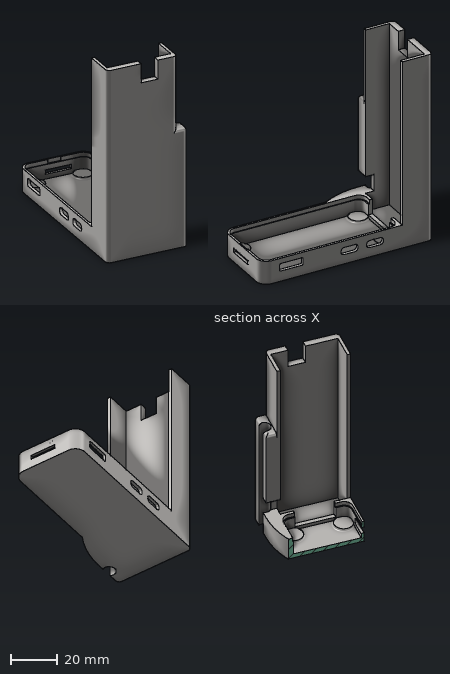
import cadquery as cq
import math

length = 84.5
width = 34.0
height = 92.0
depth_with_clip = 39.0

tray_height = 11.4
tray_length = 69.0
tray_corner_radius = 5.0
floor_thickness = 2.5
tray_wall = 1.5
lip_wall = 1.1
pocket_end = 67.4
lip_end = 68.1
lip_depth = 2.0
pad_inset = 5.5
pad_radius = 4.4
pad_fillet = 1.2

doorway_width = 18.7
doorway_sill = 4.2

rim_notch_width = 6.2
rim_notch_wall = 0.6

usb_port = {"center": 14.65, "middle": 6.95, "span": 11.7, "rise": 3.7, "radius": 0.8}
side_port = {"middle": 6.45, "span": 8.4, "rise": 3.5, "radius": 1.6}
side_port_centers = (43.4, 56.0)
card_slot_center = 18.7
card_slot_width = 12.5
card_slot_bottom = 4.8
card_slot_height = 2.0

column_start = 69.5
column_side_wall = 1.6
column_end_wall = 3.3
column_corner_radius = 2.0
top_notch_center = 20.5
top_notch_width = 8.0
top_notch_depth = 9.1

clip_height = 57.0
clip_fillet = 2.0
groove_radius = 3.0
groove_center_x = 75.75
groove_center_y = 37.5
cable_gap_reach = 4.2
cable_gap_top = 19.5
flare_length = 18.8


def box(x_range, y_range, z_range):
    """Box spanning the given (low, high) ranges."""
    size = [high - low for low, high in (x_range, y_range, z_range)]
    corner = (x_range[0], y_range[0], z_range[0])
    return cq.Workplane("XY").box(*size, centered=False).translate(corner)


def tray_pocket(wall, end, bottom):
    """Rounded pocket inset by the wall and stopping at X = end, open at the top."""
    pocket = box((wall, end), (wall, width - wall), (bottom, tray_height))
    return pocket.edges("|Z").fillet(tray_corner_radius - wall)


def base_body():
    base = box((0, length), (0, width), (0, tray_height))
    base = base.edges("|Z and <X").fillet(tray_corner_radius)
    return base.edges("|Z and >X").fillet(column_corner_radius)


def column_body():
    column = box((column_start, length), (0, width), (tray_height, height))
    return column.edges("|Z and >X").fillet(column_corner_radius)


def clip_body():
    """Block behind the column, rounded on its outer edges."""
    inner_y = width - column_corner_radius
    clip = box((column_start, length), (inner_y, depth_with_clip), (0, clip_height))
    clip = clip.edges("(|Z and >X and >Y) or (>Z and (not <Y))").fillet(clip_fillet)
    cavity_corner = box(
        (column_start, length - column_end_wall),
        (inner_y, width - column_side_wall),
        (floor_thickness, clip_height),
    )
    return clip.cut(cavity_corner)


def flare_body():
    """Curved web blending the tray's back wall into the clip."""
    overhang = depth_with_clip - width
    radius = (flare_length**2 + overhang**2) / (2 * overhang)
    half_angle = math.asin(flare_length / radius) / 2
    arc_mid = (
        column_start - radius * math.sin(half_angle),
        depth_with_clip - radius * (1 - math.cos(half_angle)),
    )
    return (
        cq.Workplane("XY")
        .moveTo(column_start - flare_length, width)
        .threePointArc(arc_mid, (column_start, depth_with_clip))
        .lineTo(column_start, width)
        .close()
        .extrude(tray_height)
    )


def column_cavity():
    return box(
        (column_start, length - column_end_wall),
        (column_side_wall, width - column_side_wall),
        (floor_thickness, height),
    )


def doorway():
    """Opening above the sill from the pocket into the column."""
    middle = width / 2
    y_range = (middle - doorway_width / 2, middle + doorway_width / 2)
    return box((tray_length - tray_corner_radius, column_start), y_range, (doorway_sill, tray_height))


def rim_notch():
    """Shallow recess in the inner face of the rim at the tray's free end."""
    middle = width / 2
    y_range = (middle - rim_notch_width / 2, middle + rim_notch_width / 2)
    return box((rim_notch_wall, tray_wall), y_range, (tray_height - lip_depth, tray_height))


def wall_port(center, middle, span, rise, radius):
    """Rounded opening through the tray's front wall."""
    port = box(
        (center - span / 2, center + span / 2),
        (0, tray_wall),
        (middle - rise / 2, middle + rise / 2),
    )
    return port.edges("|Y").fillet(radius)


def card_slot():
    y_range = (card_slot_center - card_slot_width / 2, card_slot_center + card_slot_width / 2)
    return box((0, tray_wall), y_range, (card_slot_bottom, card_slot_bottom + card_slot_height))


def top_notch():
    y_range = (top_notch_center - top_notch_width / 2, top_notch_center + top_notch_width / 2)
    return box((length - column_end_wall, length), y_range, (height - top_notch_depth, height))


def cable_groove():
    return (
        cq.Workplane("XY")
        .center(groove_center_x, groove_center_y)
        .circle(groove_radius)
        .extrude(clip_height)
    )


def cable_gap():
    """Opening that lets the cable pass from the groove toward the tray."""
    return box(
        (column_start, column_start + cable_gap_reach),
        (width - column_side_wall, depth_with_clip),
        (tray_height, cable_gap_top),
    )


def support_pad():
    """Round pad with a concave fillet running out onto the floor."""
    mid_offset = pad_fillet * (1 - math.sqrt(0.5))
    return (
        cq.Workplane("XZ")
        .lineTo(pad_radius + pad_fillet, 0)
        .threePointArc((pad_radius + mid_offset, mid_offset), (pad_radius, pad_fillet))
        .lineTo(0, pad_fillet)
        .close()
        .revolve(360, (0, 0), (0, 1))
    )


lower_pocket = tray_pocket(tray_wall, pocket_end, floor_thickness)
result = base_body().union(column_body()).union(clip_body()).union(flare_body())

result = result.cut(lower_pocket)
result = result.cut(tray_pocket(lip_wall, lip_end, tray_height - lip_depth))
result = result.cut(column_cavity()).cut(doorway()).cut(rim_notch())

result = result.cut(wall_port(**usb_port))
for port_center in side_port_centers:
    result = result.cut(wall_port(port_center, **side_port))
result = result.cut(card_slot()).cut(top_notch())
result = result.cut(cable_groove()).cut(cable_gap())

for pad_x in (pad_inset, tray_length - pad_inset):
    for pad_y in (pad_inset, width - pad_inset):
        pad = support_pad().translate((pad_x, pad_y, floor_thickness))
        result = result.union(pad.intersect(lower_pocket))